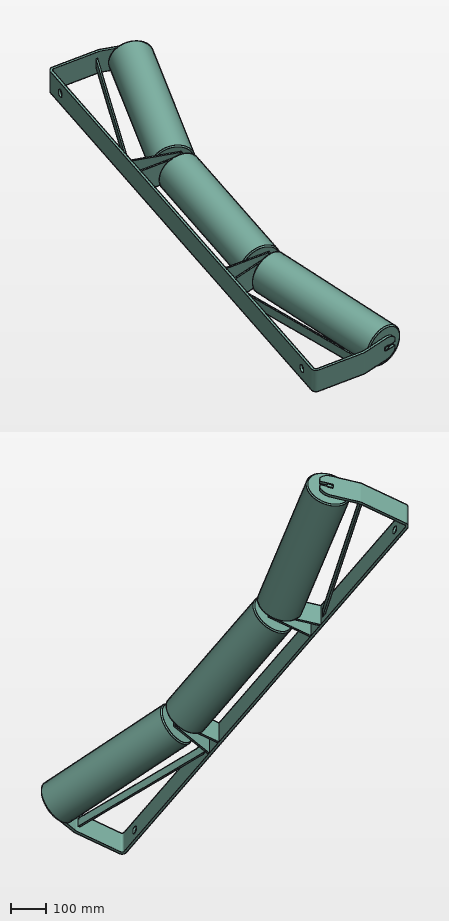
import cadquery as cq
import math

frame_length = 1510.0
strip_height = 80.0
strip_thickness = 8.0
wall_top_y = 166.0
bend_radius = 15.0
tip_reach = 30.0
tip_arc_drop = 3.0

trough_angle = 15.0
rise_angle = 0.9
roller_diameter = 133.0
roller_length = 465.0
roller_edge_chamfer = 3.8
middle_roller_y = 127.0
middle_roller_z = -8.0
side_roller_x = 494.0
side_roller_y = 190.0
side_roller_z = -3.6

axle_diameter = 20.0
axle_flat_width = 14.0
axle_overhang = 10.0
slot_reach = 15.0

bracket_thickness = 5.0
bracket_top_y = 150.0
bracket_inner_x = 240.0
bracket_crown_width = 18.0

brace_thickness = 5.3
brace_height = 33.0
brace_wall_y = 155.0
brace_base_x = 313.0

mount_slot_x = 685.0
mount_slot_width = 18.0
mount_slot_height = 25.0

half_length = frame_length / 2
half_height = strip_height / 2
roller_radius = roller_diameter / 2
axle_radius = axle_diameter / 2
lean_sin = math.sin(math.radians(trough_angle))
lean_cos = math.cos(math.radians(trough_angle))
lean_tan = math.tan(math.radians(trough_angle))
end_plate_top_y = side_roller_y + roller_length / 2 * lean_sin + half_height


def upright_prism(points, height):
    """Extrude a plan outline along Z, centred on Z = 0."""
    base_plane = cq.Workplane("XY", origin=(0, 0, -height / 2))
    return base_plane.polyline(points).close().extrude(height)


def with_mirror_image(body):
    return body.union(body.mirror("YZ"))


def place_middle(body):
    return body.translate((0, middle_roller_y, middle_roller_z))


def lean_left(body):
    return body.rotate((0, 0, 0), (0, 0, 1), -trough_angle)


def place_left(body):
    tilted = lean_left(body.rotate((0, 0, 0), (0, 1, 0), rise_angle))
    return tilted.translate((-side_roller_x, side_roller_y, side_roller_z))


def strip_prism(inset, corner_radius):
    """Trough-shaped prism that lies `inset` inside the outer faces of the strip."""
    wall_x = half_length - inset
    wall_y = wall_top_y - inset * math.tan(math.radians(trough_angle / 2))
    top_x = wall_x - (end_plate_top_y - wall_y) * lean_tan
    right_side = [(wall_x, inset), (wall_x, wall_y), (top_x, end_plate_top_y)]
    left_side = [(-x, y) for x, y in reversed(right_side)]
    prism = upright_prism(right_side + left_side, strip_height)
    return prism.edges("|Z and (not >Y)").fillet(corner_radius)


def make_tip_trimmer():
    """What is cut off the top of the left end plate to leave a rounded tip with a flat end."""
    block = cq.Workplane("XY").box(strip_height, strip_height, 2 * strip_height)
    block = block.translate((0, half_height, 0))
    rounded_tip = cq.Workplane("YZ").circle(half_height).extrude(half_height, both=True)
    flat_height = tip_reach + tip_arc_drop
    below_flat = cq.Workplane("XY").box(strip_height, 2 * flat_height, strip_height)
    trimmer = block.cut(rounded_tip.intersect(below_flat)).translate((0, -tip_arc_drop, 0))
    axle_end = (
        -side_roller_x - roller_length / 2 * lean_cos,
        side_roller_y + roller_length / 2 * lean_sin,
        0,
    )
    return lean_left(trimmer).translate(axle_end)


def make_strip():
    outer = strip_prism(0, bend_radius)
    inner = strip_prism(strip_thickness, bend_radius - strip_thickness)
    trimmer = make_tip_trimmer()
    mount_slots = (
        cq.Workplane("XZ")
        .pushPoints([(-mount_slot_x, 0), (mount_slot_x, 0)])
        .slot2D(mount_slot_height, mount_slot_width, 90)
        .extrude(-strip_thickness)
    )
    return outer.cut(inner).cut(trimmer).cut(trimmer.mirror("YZ")).cut(mount_slots)


def make_left_bracket():
    """Folded plate with a straight leg by the middle roller and a leaning leg by the left one."""
    foot_y = strip_thickness
    under_crown_y = bracket_top_y - bracket_thickness
    straight_face = -bracket_inner_x
    straight_back = straight_face - bracket_thickness

    def leaning_face(y):
        return straight_face - bracket_crown_width - (bracket_top_y - y) * lean_tan

    def leaning_back(y):
        return leaning_face(y) + bracket_thickness / lean_cos

    outline = [
        (straight_face, foot_y),
        (straight_face, bracket_top_y),
        (leaning_face(bracket_top_y), bracket_top_y),
        (leaning_face(foot_y), foot_y),
        (leaning_back(foot_y), foot_y),
        (leaning_back(under_crown_y), under_crown_y),
        (straight_back, under_crown_y),
        (straight_back, foot_y),
    ]
    return upright_prism(outline, strip_height)


def make_left_brace():
    """Flat bar from the left end wall down to the base."""
    wall_x = -half_length + strip_thickness
    run = -brace_base_x - wall_x
    drop = brace_wall_y - strip_thickness
    length = math.hypot(run, drop)
    half_on_wall = brace_thickness / 2 * length / run
    half_on_base = brace_thickness / 2 * length / drop
    outline = [
        (wall_x, brace_wall_y - half_on_wall),
        (wall_x, brace_wall_y + half_on_wall),
        (-brace_base_x + half_on_base, strip_thickness),
        (-brace_base_x - half_on_base, strip_thickness),
    ]
    return upright_prism(outline, brace_height)


def axle_bar(length):
    """Round bar along X with a flat on its upper and lower side."""
    bar = cq.Workplane("YZ", origin=(-length / 2, 0, 0)).circle(axle_radius).extrude(length)
    return bar.intersect(cq.Workplane("XY").box(length, axle_diameter, axle_flat_width))


def make_roller():
    """Roller along X, centred on the origin, in one piece with its axle."""
    drum = (
        cq.Workplane("YZ", origin=(-roller_length / 2, 0, 0))
        .circle(roller_radius)
        .extrude(roller_length)
        .faces("<X or >X")
        .chamfer(roller_edge_chamfer)
    )
    return drum.union(axle_bar(roller_length + 2 * axle_overhang))


def make_axle_slot():
    """Space of a roller's axle together with the open path above it."""
    length = roller_length + 2 * slot_reach
    path = cq.Workplane("XY").box(length, half_height, axle_flat_width)
    return axle_bar(length).union(path.translate((0, half_height / 2, 0)))


def make_frame():
    fittings = with_mirror_image(make_left_bracket().union(make_left_brace()))
    slot = make_axle_slot()
    left_slot = place_left(slot)
    frame = make_strip().union(fittings)
    return frame.cut(place_middle(slot)).cut(left_slot).cut(left_slot.mirror("YZ"))


frame = make_frame()
middle_roller = place_middle(make_roller())
left_roller = place_left(make_roller())
right_roller = left_roller.mirror("YZ")
bodies = [frame, left_roller, middle_roller, right_roller]

result = cq.Compound.makeCompound([body.solids().val() for body in bodies])